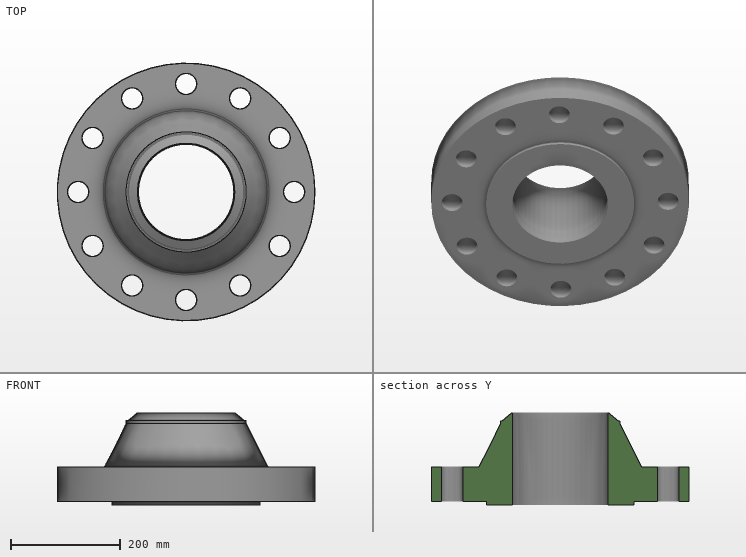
import cadquery as cq

flange_diameter = 470.0
flange_thickness = 63.5

raised_face_diameter = 270.0
raised_face_height = 6.0

overall_height = 168.0
hub_base_diameter = 298.0
hub_base_fillet = 3.8
neck_diameter = 219.0
neck_length = 5.5
bore_diameter = 174.0

bevel_height = 14.0
bevel_top_diameter = 177.5
bevel_base_diameter = 211.5
bevel_base_fillet = 3.0

bolt_count = 12
bolt_circle_diameter = 393.5
bolt_hole_diameter = 38.0

bottom_z = -raised_face_height
top_z = bottom_z + overall_height
shoulder_z = top_z - bevel_height
neck_start_z = shoulder_z - neck_length


def disc():
    """Bolting disc with the raised face below it."""
    raised_face = (
        cq.Workplane("XY", origin=(0, 0, bottom_z))
        .circle(raised_face_diameter / 2)
        .extrude(raised_face_height)
    )
    plate = cq.Workplane("XY").circle(flange_diameter / 2).extrude(flange_thickness)
    return plate.union(raised_face)


def hub():
    """Taper, neck, shoulder and welding bevel revolved about the Z axis."""
    return (
        cq.Workplane("XZ")
        .moveTo(0, flange_thickness)
        .lineTo(hub_base_diameter / 2, flange_thickness)
        .lineTo(neck_diameter / 2, neck_start_z)
        .lineTo(neck_diameter / 2, shoulder_z)
        .lineTo(bevel_base_diameter / 2, shoulder_z)
        .lineTo(bevel_top_diameter / 2, top_z)
        .lineTo(0, top_z)
        .close()
        .revolve(360, (0, 0, 0), (0, 1, 0))
    )


def edges_within(radius, z):
    """Selector for edges at height z that lie within the given radius of the Z axis."""
    margin = 0.5
    return cq.selectors.BoxSelector(
        (-radius - margin, -radius - margin, z - margin),
        (radius + margin, radius + margin, z + margin),
        boundingbox=True,
    )


def bore():
    return (
        cq.Workplane("XY", origin=(0, 0, bottom_z))
        .circle(bore_diameter / 2)
        .extrude(overall_height)
    )


def bolt_holes():
    return (
        cq.Workplane("XY")
        .polarArray(bolt_circle_diameter / 2, 0, 360, bolt_count)
        .circle(bolt_hole_diameter / 2)
        .extrude(flange_thickness)
    )


body = disc().union(hub())
body = body.edges(edges_within(hub_base_diameter / 2, flange_thickness)).fillet(hub_base_fillet)
body = body.edges(edges_within(bevel_base_diameter / 2, shoulder_z)).fillet(bevel_base_fillet)

result = body.cut(bore()).cut(bolt_holes())